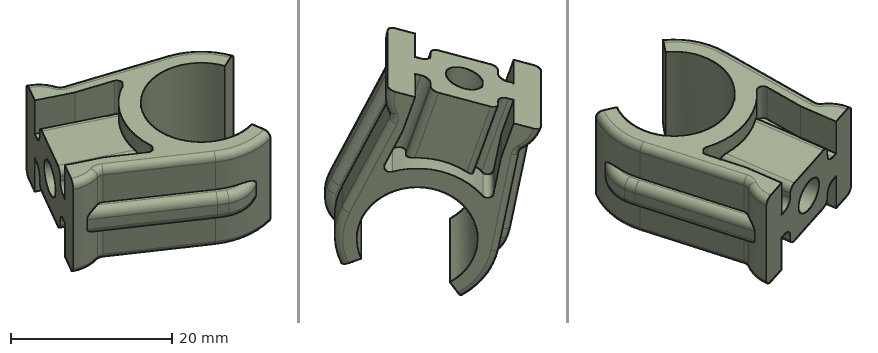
import cadquery as cq
import math

width = 23.5
height = 15.0
length = 26.2
base_half_width = 9.95
edge_radius = 1.0

bore_radius = 7.5
ring_radius = 10.25
tip_angle = math.radians(40)
ring_y = length - ring_radius * math.sin(tip_angle)

lean = math.radians(7.2)
flare_radius = 5.32
flare_blend_radius = 1.0

rib_height = width / 2 - ring_radius
rib_half_thickness = 2.0
rib_edge_radius = 1.2
rib_nose_radius = 5.0
rib_foot_y = 1.05

pocket_half_width = 6.4
pocket_bend_y = 5.2
pocket_corner_radius = 0.75
web_half_thickness = 2.0
block_half_width = 4.38
block_half_height = 5.0
block_corner_radius = 1.0
block_root_radius = 1.28
screw_hole_radius = 2.4


def wall_x(y, radius):
    """Return x on the leaning line tangent to a ring of the given radius."""
    return (radius + (y - ring_y) * math.sin(lean)) / math.cos(lean)


def ring_point(radius, angle):
    return (radius * math.cos(angle), ring_y + radius * math.sin(angle))


def mirrored(point):
    return (-point[0], point[1])


def flare_corner():
    """Find where the leaning wall line meets the arc of the foot."""
    center_x = base_half_width - flare_radius
    to_line = ring_radius - center_x * math.cos(lean) - ring_y * math.sin(lean)
    angle = math.acos(to_line / flare_radius) - lean
    return center_x + flare_radius * math.cos(angle), flare_radius * math.sin(angle), angle


def make_body():
    corner_x, corner_y, flare_angle = flare_corner()
    corner = (corner_x, corner_y)
    flare_middle = (
        base_half_width - flare_radius + flare_radius * math.cos(flare_angle / 2),
        flare_radius * math.sin(flare_angle / 2),
    )
    tangent = ring_point(ring_radius, -lean)
    ring_middle = ring_point(ring_radius, (tip_angle - lean) / 2)
    outer_tip = ring_point(ring_radius, tip_angle)
    inner_tip = ring_point(bore_radius, tip_angle)
    bore_bottom = (0, ring_y - bore_radius)
    body = (
        cq.Workplane("XY")
        .workplane(offset=-height / 2)
        .moveTo(-base_half_width, 0)
        .lineTo(base_half_width, 0)
        .threePointArc(flare_middle, corner)
        .lineTo(*tangent)
        .threePointArc(ring_middle, outer_tip)
        .lineTo(*inner_tip)
        .threePointArc(bore_bottom, mirrored(inner_tip))
        .lineTo(*mirrored(outer_tip))
        .threePointArc(mirrored(ring_middle), mirrored(tangent))
        .lineTo(*mirrored(corner))
        .threePointArc(mirrored(flare_middle), (-base_half_width, 0))
        .close()
        .extrude(height)
    )
    for side in (-1, 1):
        nearest = cq.selectors.NearestToPointSelector((side * corner_x, corner_y, 0))
        body = body.edges("|Z").edges(nearest).fillet(flare_blend_radius)
    wall_middle_y = (corner_y + tangent[1]) / 2
    wall_middle_x = wall_x(wall_middle_y, ring_radius)
    for side in (-1, 1):
        for z in (-height / 2, height / 2):
            nearest = cq.selectors.NearestToPointSelector((side * wall_middle_x, wall_middle_y, z))
            body = body.edges(nearest).fillet(edge_radius)
    return body


def make_rib():
    outer_radius = ring_radius + rib_height
    root_x = outer_radius - rib_nose_radius
    nose_middle = (
        root_x + rib_nose_radius * math.sqrt(0.5),
        ring_y + rib_nose_radius * math.sqrt(0.5),
    )
    rib = (
        cq.Workplane("XY")
        .workplane(offset=-rib_half_thickness)
        .moveTo(root_x, rib_foot_y)
        .lineTo(wall_x(rib_foot_y, outer_radius), rib_foot_y)
        .lineTo(*ring_point(outer_radius, -lean))
        .threePointArc(ring_point(outer_radius, -lean / 2), ring_point(outer_radius, 0))
        .threePointArc(nose_middle, (root_x, ring_y + rib_nose_radius))
        .close()
        .extrude(2 * rib_half_thickness)
    )
    face_y = ring_y / 2
    face_x = wall_x(face_y, outer_radius)
    for z in (-rib_half_thickness, rib_half_thickness):
        nearest = cq.selectors.NearestToPointSelector((face_x, face_y, z))
        rib = rib.edges(nearest).fillet(rib_edge_radius)
    return rib


def make_pocket():
    wall_gap = wall_x(pocket_bend_y, ring_radius) - pocket_half_width
    side_radius = ring_radius - wall_gap * math.cos(lean)
    corner_angle = math.acos(side_radius / ring_radius) + lean
    corner = ring_point(ring_radius, -corner_angle)
    bend = (pocket_half_width, pocket_bend_y)
    pocket = (
        cq.Workplane("XY")
        .workplane(offset=-height / 2)
        .moveTo(-pocket_half_width, 0)
        .lineTo(pocket_half_width, 0)
        .lineTo(*bend)
        .lineTo(*corner)
        .threePointArc((0, ring_y - ring_radius), mirrored(corner))
        .lineTo(*mirrored(bend))
        .close()
        .extrude(height)
    )
    return pocket.edges("|Z").edges(">Y").fillet(pocket_corner_radius)


def make_bridge():
    """Web and screw block, running from the foot into the ring."""
    depth = ring_y - bore_radius
    web = cq.Workplane("XY").box(2 * base_half_width, depth, 2 * web_half_thickness)
    block = cq.Workplane("XY").box(2 * block_half_width, depth, 2 * block_half_height)
    block = block.edges("|Y").fillet(block_corner_radius)
    bridge = web.union(block)
    for x in (-block_half_width, block_half_width):
        for z in (-web_half_thickness, web_half_thickness):
            nearest = cq.selectors.NearestToPointSelector((x, 0, z))
            bridge = bridge.edges("|Y").edges(nearest).fillet(block_root_radius)
    return bridge.translate((0, depth / 2, 0))


rib = make_rib()
pocket = make_pocket()
bore = cq.Workplane("XY").center(0, ring_y).circle(bore_radius).extrude(height / 2, both=True)
screw_hole = cq.Workplane("XZ").circle(screw_hole_radius).extrude(-ring_y)

result = (
    make_body()
    .union(rib)
    .union(rib.mirror("YZ"))
    .cut(pocket.cut(make_bridge()))
    .cut(bore)
    .cut(screw_hole)
)